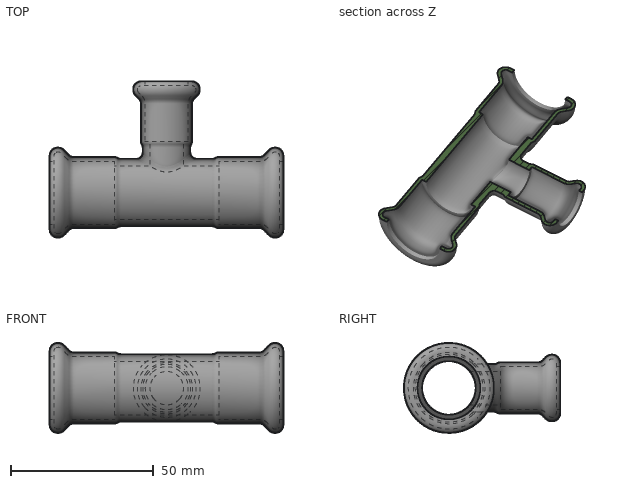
import cadquery as cq
import math

run_length = 82.0
branch_reach = 39.0
run_bead_radius = 15.8
run_socket_radius = 25.0 / 2
run_tube_radius = 23.8 / 2
branch_bead_radius = 11.7
branch_socket_radius = 18.0 / 2
branch_tube_radius = 16.8 / 2
wall = 1.5
tube_wall = 2.55
bead_round = 2.95
neck_round = 2.0
step_round = 2.0
junction_round = 2.0
run_socket_depth = 22.7
branch_socket_depth = 21.0

mouth_angle = math.radians(-90)
cone_angle = math.radians(45)
step_angle = math.radians(30)


def arc_point(center, radius, angle):
    """Point on a section arc, as (radius from axis, depth from mouth)."""
    return (center[0] + radius * math.cos(angle), center[1] + radius * math.sin(angle))


def revolve_profile(profile):
    """Turn a (radius, depth) outline about the depth axis."""
    return profile.close().revolve(360, (0, 0, 0), (0, 1, 0))


def bead_and_neck(profile, bead_center, bead_radius, neck_center, neck_radius):
    """Add the bead arc, the tangent cone and the neck arc to an outline."""
    mid_angle = (mouth_angle + cone_angle) / 2
    neck_start = math.pi + cone_angle
    neck_mid = math.pi + cone_angle / 2
    return (
        profile
        .threePointArc(
            arc_point(bead_center, bead_radius, mid_angle),
            arc_point(bead_center, bead_radius, cone_angle),
        )
        .lineTo(*arc_point(neck_center, neck_radius, neck_start))
        .threePointArc(
            arc_point(neck_center, neck_radius, neck_mid),
            arc_point(neck_center, neck_radius, math.pi),
        )
    )


def section_centers(bead_outer, socket_outer):
    """Centres of the bead and neck rounds, joined by a 45 degree tangent cone."""
    bead_center = (bead_outer - bead_round, bead_round)
    neck_r = socket_outer + neck_round
    rounds_offset = (bead_round + neck_round) / math.cos(cone_angle)
    neck_depth = bead_center[1] + rounds_offset - (neck_r - bead_center[0])
    return bead_center, (neck_r, neck_depth)


def outer_solid(bead_outer, socket_outer, tube_outer, socket_depth, total_depth):
    """Solid envelope of one leg, from its mouth to the fitting centre."""
    bead_center, neck_center = section_centers(bead_outer, socket_outer)
    profile = cq.Workplane("XY").lineTo(bead_center[0], 0)
    profile = bead_and_neck(
        profile, bead_center, bead_round, neck_center, neck_round
    )
    rounds_drop = 2 * step_round * (1 - math.cos(step_angle))
    cone_length = (socket_outer - tube_outer - rounds_drop) / math.tan(step_angle)
    step_length = 2 * step_round * math.sin(step_angle) + cone_length
    convex_center = (socket_outer - step_round, socket_depth)
    concave_center = (tube_outer + step_round, socket_depth + step_length)
    profile = (
        profile
        .lineTo(socket_outer, socket_depth)
        .threePointArc(
            arc_point(convex_center, step_round, step_angle / 2),
            arc_point(convex_center, step_round, step_angle),
        )
        .lineTo(*arc_point(concave_center, step_round, math.pi + step_angle))
        .threePointArc(
            arc_point(concave_center, step_round, math.pi + step_angle / 2),
            arc_point(concave_center, step_round, math.pi),
        )
        .lineTo(tube_outer, total_depth)
        .lineTo(0, total_depth)
    )
    return revolve_profile(profile)


def inner_space(bead_outer, socket_outer, tube_outer, socket_depth, total_depth):
    """Mouth, seal groove, socket bore and tube bore of one leg."""
    bead_center, neck_center = section_centers(bead_outer, socket_outer)
    socket_bore = socket_outer - wall
    tube_bore = tube_outer - tube_wall
    profile = (
        cq.Workplane("XY")
        .lineTo(socket_bore, 0)
        .lineTo(socket_bore, wall)
        .lineTo(bead_center[0], wall)
    )
    profile = bead_and_neck(
        profile, bead_center, bead_round - wall, neck_center, neck_round + wall
    )
    profile = (
        profile
        .lineTo(socket_bore, socket_depth)
        .lineTo(tube_bore, socket_depth)
        .lineTo(tube_bore, total_depth)
        .lineTo(0, total_depth)
    )
    return revolve_profile(profile)


def place_run_leg(leg):
    """Turn the depth axis to +X, with the mouth at the -X end."""
    return leg.rotate((0, 0, 0), (0, 0, 1), -90).translate((-run_length / 2, 0, 0))


def place_branch_leg(leg):
    """Turn the depth axis to -Y, with the mouth at the +Y end."""
    return leg.rotate((0, 0, 0), (0, 0, 1), 180).translate((0, branch_reach, 0))


def join_legs(make_leg):
    """Fuse both run legs and the branch leg made by one leg function."""
    left = place_run_leg(make_leg(
        run_bead_radius, run_socket_radius, run_tube_radius, run_socket_depth, run_length / 2
    ))
    branch = place_branch_leg(make_leg(
        branch_bead_radius, branch_socket_radius, branch_tube_radius,
        branch_socket_depth, branch_reach
    ))
    run = left.union(left.mirror("YZ")).clean()
    return run.union(branch)


body = join_legs(outer_solid)
foot_selector = cq.selectors.BoxSelector(
    (-branch_tube_radius, 0, -branch_tube_radius),
    (branch_tube_radius, run_tube_radius, branch_tube_radius),
)
body = body.edges(foot_selector).fillet(junction_round)

result = body.cut(join_legs(inner_space))